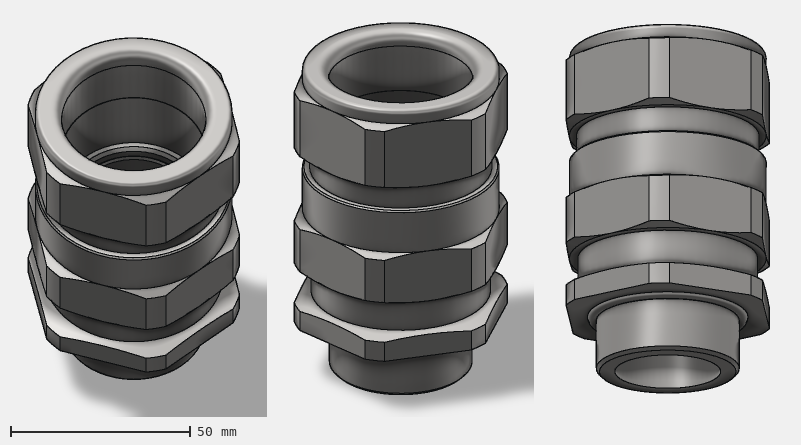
import cadquery as cq
import math

hex_flats = 55.0
hex_corner_radius = 30.3
flat_radius = hex_flats / 2
half_side_angle = 30

flange_bottom = 16.1
flange_top = 23.35
body_bottom = 33.25
body_hex_top = 48.9
body_collar_top = 61.9
nut_bottom = 69.4
nut_hex_top = 89.4
total_height = 93.4

nut_rim_fillet = 1.4
nut_mouth_radius = 20.2
nut_mouth_fillet = 3.1
nut_lip_height = 4.1
hex_chamfer_height = 1.2

body_neck_radius = 25.5
body_collar_chamfer = 0.5
upper_bore_radius = nut_mouth_radius
bore_step = 0.1
bore_step_height = 75.4
lower_bore_radius = upper_bore_radius - bore_step
ledge_top = 56.0
ledge_bore_radius = 17.65
ledge_chamfer = 0.9

entry_neck_radius = 25.1
entry_top = body_hex_top
flange_chamfer_height = 1.3
flange_chamfer_radius = 25.4
thread_radius = 20.0
thread_chamfer = 0.9
entry_bore_radius = 14.8
nozzle_mouth_radius = 16.1
nozzle_crest_radius = 16.6
nozzle_outer_radius = 17.4
nozzle_top = 54.2
nozzle_chamfer = 0.75

ring_section_radius = 1.5
ring_radius = 20.9


def revolved(profile):
    """Turn a closed (radius, height) profile about the Z axis."""
    return cq.Workplane("XZ").polyline(profile).close().revolve(360, (0, 0, 0), (0, 1, 0))


def cylinder(radius, bottom, top):
    return cq.Workplane("XY").workplane(offset=bottom).circle(radius).extrude(top - bottom)


def hexagon(bottom, top, turned_profile):
    """Hexagonal prism whose corners are turned down to the given profile."""
    sharp_diameter = hex_flats / math.cos(math.radians(half_side_angle))
    prism = (
        cq.Workplane("XY")
        .workplane(offset=bottom)
        .transformed(rotate=(0, 0, half_side_angle))
        .polygon(6, sharp_diameter)
        .extrude(top - bottom)
    )
    return prism.intersect(revolved(turned_profile))


def double_chamfered_hexagon(bottom, top):
    return hexagon(bottom, top, [
        (0, bottom),
        (flat_radius, bottom),
        (hex_corner_radius, bottom + hex_chamfer_height),
        (hex_corner_radius, top - hex_chamfer_height),
        (flat_radius, top),
        (0, top),
    ])


def make_nut():
    lip_bottom = total_height - nut_lip_height
    rim = cylinder(flat_radius, nut_hex_top, total_height).faces(">Z").edges().fillet(nut_rim_fillet)
    nut = double_chamfered_hexagon(nut_bottom, nut_hex_top).union(rim)
    nut = nut.cut(cylinder(body_neck_radius, nut_bottom, lip_bottom))
    nut = nut.cut(cylinder(nut_mouth_radius, lip_bottom, total_height))
    mouth_edge = nut.faces(">Z").edges(cq.selectors.RadiusNthSelector(0))
    return mouth_edge.fillet(nut_mouth_fillet)


def make_body():
    neck_top = total_height - nut_lip_height
    collar = cylinder(flat_radius, body_hex_top, body_collar_top)
    collar = collar.faces(">Z").edges().chamfer(body_collar_chamfer)
    neck = cylinder(body_neck_radius, body_collar_top, neck_top)
    body = double_chamfered_hexagon(body_bottom, body_hex_top).union(collar).union(neck)
    passage = revolved([
        (0, body_bottom),
        (entry_neck_radius, body_bottom),
        (entry_neck_radius, entry_top),
        (ledge_bore_radius, entry_top),
        (ledge_bore_radius, ledge_top - ledge_chamfer),
        (ledge_bore_radius + ledge_chamfer, ledge_top),
        (lower_bore_radius, ledge_top),
        (lower_bore_radius, bore_step_height),
        (upper_bore_radius, bore_step_height),
        (upper_bore_radius, neck_top),
        (0, neck_top),
    ])
    return body.cut(passage)


def make_sealing_ring():
    section = cq.Workplane("XZ").center(ring_radius, flange_bottom).circle(ring_section_radius)
    return section.revolve(360, (-ring_radius, 0, 0), (-ring_radius, 1, 0))


def make_entry():
    flange = hexagon(flange_bottom, flange_top, [
        (0, flange_bottom),
        (hex_corner_radius, flange_bottom),
        (hex_corner_radius, flange_top - flange_chamfer_height),
        (flange_chamfer_radius, flange_top),
        (0, flange_top),
    ])
    thread = cylinder(thread_radius, 0, flange_bottom).faces("<Z").edges().chamfer(thread_chamfer)
    neck = cylinder(entry_neck_radius, flange_top, entry_top)
    nozzle = revolved([
        (0, entry_top),
        (nozzle_outer_radius, entry_top),
        (nozzle_outer_radius, nozzle_top - nozzle_chamfer),
        (nozzle_crest_radius, nozzle_top),
        (0, nozzle_top),
    ])
    bore = revolved([
        (0, 0),
        (entry_bore_radius, 0),
        (entry_bore_radius, entry_top),
        (nozzle_mouth_radius, nozzle_top - nozzle_chamfer),
        (nozzle_crest_radius, nozzle_top),
        (0, nozzle_top),
    ])
    entry = flange.union(thread).union(neck).union(nozzle)
    return entry.cut(bore).cut(make_sealing_ring())


nut = make_nut().solids()
body = make_body().solids()
entry = make_entry().solids()
sealing_ring = make_sealing_ring().solids()

result = cq.Compound.makeCompound([nut.val(), body.val(), entry.val(), sealing_ring.val()])